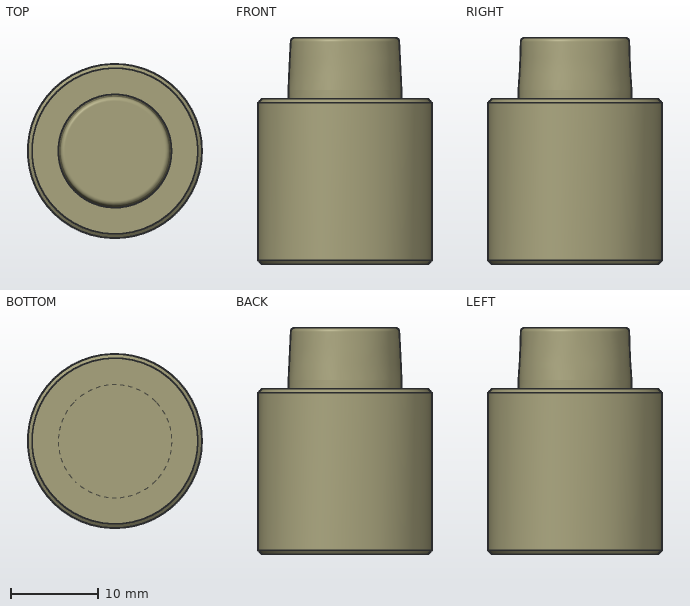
import cadquery as cq

total_height = 26.0
body_diameter = 20.0
body_height = 19.0
body_chamfer = 0.5

knob_diameter = 13.0
collar_height = 1.0
knob_top_diameter = 12.43
knob_fillet = 0.5


def make_body():
    """Upright cylinder with both rims chamfered."""
    body = cq.Workplane("XY").circle(body_diameter / 2).extrude(body_height)
    return body.faces("<Z or >Z").edges().chamfer(body_chamfer)


def make_knob():
    """Revolved collar and tapered grip with a rounded top rim."""
    base_radius = knob_diameter / 2
    collar_top = body_height + collar_height
    profile = (
        cq.Workplane("XZ")
        .moveTo(0, body_height)
        .lineTo(base_radius, body_height)
        .lineTo(base_radius, collar_top)
        .lineTo(knob_top_diameter / 2, total_height)
        .lineTo(0, total_height)
        .close()
    )
    knob = profile.revolve(360, (0, 0, 0), (0, 1, 0))
    return knob.faces(">Z").edges().fillet(knob_fillet)


result = make_body().union(make_knob())